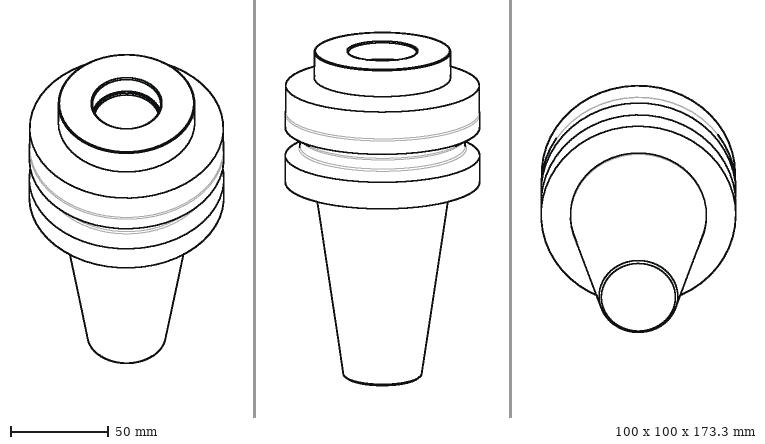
import cadquery as cq
import math

total_height = 173.3
collar_height = 14.4
shoulder_height = 4.0
upper_rim_height = 14.2
rim_taper_height = 1.0
flange_bottom = 103.3
neck_height = 1.4
groove_centre = 125.0

flange_diameter = 100.0
upper_rim_inset = 0.26
collar_diameter = 70.0
gauge_diameter = 69.8
groove_diameter = 85.0
taper_ratio = 7 / 24

groove_floor_width = 6.2
groove_flank_angle = 30
groove_fillet = 1.2

collar_chamfer = 0.5
shank_chamfer = 1.0

bore_radius = 17.5
bore_depth = 9.4
mouth_chamfer = 0.7
seat_radius = 17.3
seat_depth = 11.3
seat_chamfer = 0.7

flange_radius = flange_diameter / 2
upper_rim_radius = flange_radius - upper_rim_inset
collar_radius = collar_diameter / 2
gauge_radius = gauge_diameter / 2
groove_radius = groove_diameter / 2

shoulder_top = total_height - collar_height
rim_top = shoulder_top - shoulder_height
rim_bottom = rim_top - upper_rim_height
flank_height = (flange_radius - groove_radius) * math.tan(math.radians(groove_flank_angle))
groove_top = groove_centre + groove_floor_width / 2
groove_bottom = groove_centre - groove_floor_width / 2
gauge_line = flange_bottom - neck_height

shank_end_radius = gauge_radius - gauge_line * taper_ratio / 2


def revolve_about_z(profile):
    """Turn a closed (radius, height) outline a full revolution around Z."""
    return cq.Workplane("XZ").polyline(profile).close().revolve(360, (0, 0, 0), (0, 1, 0))


def circle_at(height, radius):
    """Select the circular edge of the given radius at the given height."""
    margin = 0.02
    reach = radius + margin
    return cq.selectors.BoxSelector(
        (-reach, -reach, height - margin), (reach, reach, height + margin), boundingbox=True
    )


def make_body():
    """Taper shank, grooved flange and top collar with sharp edges."""
    return revolve_about_z([
        (0, 0),
        (shank_end_radius, 0),
        (gauge_radius, gauge_line),
        (gauge_radius, flange_bottom),
        (flange_radius, flange_bottom),
        (flange_radius, groove_bottom - flank_height),
        (groove_radius, groove_bottom),
        (groove_radius, groove_top),
        (flange_radius, groove_top + flank_height),
        (flange_radius, rim_bottom - rim_taper_height),
        (upper_rim_radius, rim_bottom),
        (upper_rim_radius, rim_top),
        (collar_radius, shoulder_top),
        (collar_radius, total_height),
        (0, total_height),
    ])


def break_edges(body):
    """Chamfer both ends and round the two corners of the groove floor."""
    body = body.edges(circle_at(total_height, collar_radius)).chamfer(collar_chamfer)
    body = body.edges(circle_at(0, shank_end_radius)).chamfer(shank_chamfer)
    for corner_height in (groove_top, groove_bottom):
        body = body.edges(circle_at(corner_height, groove_radius)).fillet(groove_fillet)
    return body


def make_bore():
    """Chamfered blind bore with a small ledge above its chamfered seat."""
    ledge_height = total_height - bore_depth
    floor_height = total_height - seat_depth
    return revolve_about_z([
        (0, total_height),
        (bore_radius + mouth_chamfer, total_height),
        (bore_radius, total_height - mouth_chamfer),
        (bore_radius, ledge_height),
        (seat_radius, ledge_height),
        (seat_radius, floor_height + seat_chamfer),
        (seat_radius - seat_chamfer, floor_height),
        (0, floor_height),
    ])


result = break_edges(make_body()).cut(make_bore())